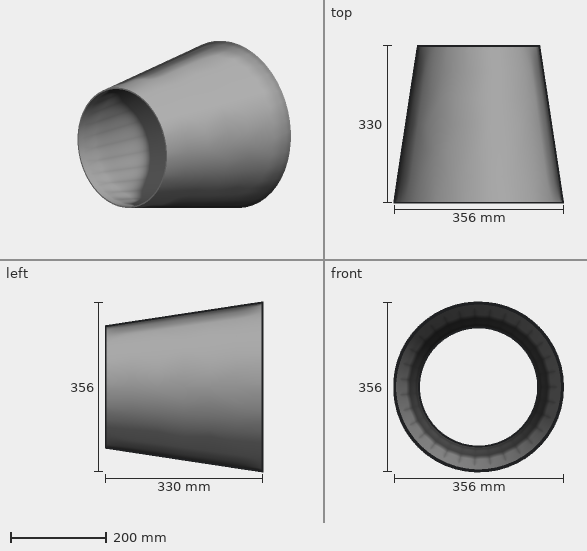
import cadquery as cq

large_diameter = 356.0
small_diameter = 256.0
wall = 3.0
length = 330.0

large_radius = large_diameter / 2
small_radius = small_diameter / 2


def reducer_shell():
    """Revolve the slanted wall section about Y, large end at Y = 0."""
    wall_section = [
        (large_radius - wall, 0),
        (large_radius, 0),
        (small_radius, length),
        (small_radius - wall, length),
    ]
    return (
        cq.Workplane("XY")
        .polyline(wall_section)
        .close()
        .revolve(360, (0, 0, 0), (0, 1, 0))
    )


result = reducer_shell()